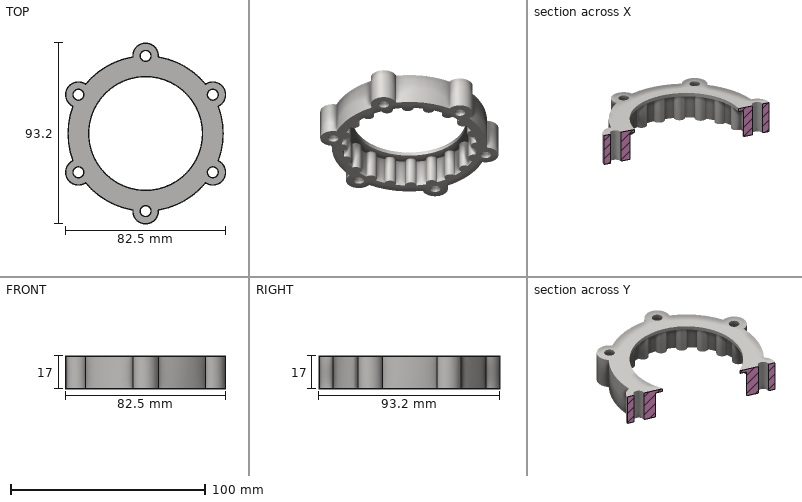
import cadquery as cq

height = 17.0
overall_length = 93.2
ring_diameter = 80.0

ear_count = 6
ear_diameter = 13.2
bolt_hole_diameter = 5.5
bolt_circle_radius = (overall_length - ear_diameter) / 2

lip_diameter = 58.5
lip_thickness = 2.0
ribbed_bore_diameter = 69.5
ribbed_depth = height - lip_thickness

rib_count = 20
rib_diameter = 6.0
rib_circle_radius = ribbed_bore_diameter / 2


def round_pattern(diameter, length, circle_radius, start_angle, count):
    """Vertical cylinders standing on Z = 0, evenly spaced around the axis."""
    return (
        cq.Workplane("XY")
        .polarArray(circle_radius, start_angle, 360, count)
        .circle(diameter / 2)
        .extrude(length)
    )


def ring_body():
    """Round ring with ears, one of them on the +Y axis."""
    ring = cq.Workplane("XY").circle(ring_diameter / 2).extrude(height)
    ears = round_pattern(ear_diameter, height, bolt_circle_radius, 90, ear_count)
    return ring.union(ears)


def ribbed_bore():
    """Volume removed below the lip, with the ribs left standing."""
    bore = cq.Workplane("XY").circle(ribbed_bore_diameter / 2).extrude(ribbed_depth)
    ribs = round_pattern(rib_diameter, ribbed_depth, rib_circle_radius, 0, rib_count)
    return bore.cut(ribs)


lip_bore = cq.Workplane("XY").circle(lip_diameter / 2).extrude(height)
bolt_holes = round_pattern(bolt_hole_diameter, height, bolt_circle_radius, 90, ear_count)

result = ring_body().cut(ribbed_bore()).cut(lip_bore).cut(bolt_holes)